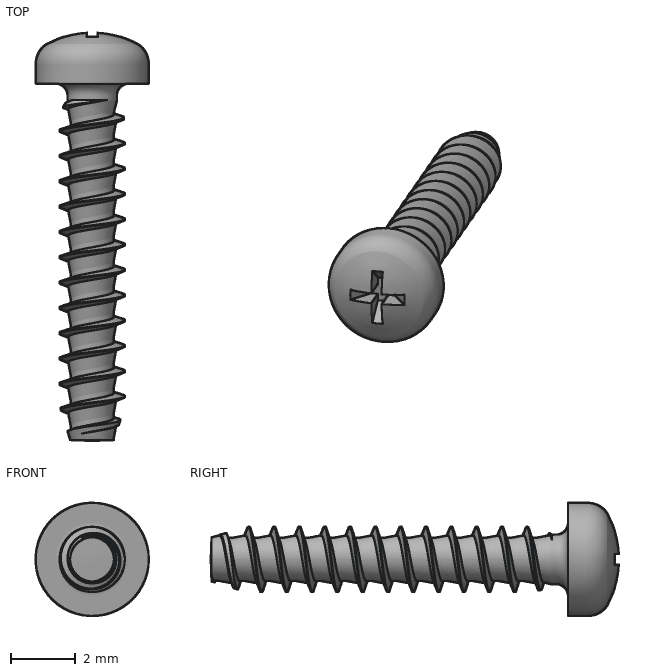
import cadquery as cq
import math

total_length = 12.57

recess_arm_width = 0.33
recess_radius = 0.95
recess_floor_radius = 0.38
recess_depth = 0.82

head_radius = 1.75
head_height = 1.57
rim_height = 0.6
head_edge_fillet = 0.04

crown_radius = 1.42
crown_drop = 0.36
crown_sphere_radius = (crown_radius**2 + crown_drop**2) / (2 * crown_drop)
recess_corner_radius = math.hypot(recess_arm_width / 2, recess_arm_width / 2)
lost_apex_height = crown_sphere_radius - math.sqrt(crown_sphere_radius**2 - recess_corner_radius**2)
apex_y = head_height + lost_apex_height

neck_radius = 0.77
neck_fillet = 0.35
neck_length = 0.52
neck_taper_length = 0.5
neck_end_radius = 0.64

tip_y = head_height - total_length
tip_cone_height = 0.03
shank_end_y = tip_y + tip_cone_height

thread_radius = 1.0
pitch = 0.78
turn_count = 15
crest_half_width = 0.01
ridge_half_width = 0.11
core_radius = 0.67
root_radius = 0.74
root_taper_length = 0.4
first_crest_y = -11.19

run_in_radius = 0.74
run_in_y = -0.45
run_in_knee_y = -0.79
run_in_knee_radius = 0.94
full_thread_top_y = -1.26
full_thread_bottom_y = -9.92
run_out_radius = 0.68
trim_radius = thread_radius + 0.25
trim_bottom_y = first_crest_y - 2 * pitch


def revolve_about_y(outline):
    """Close an outline in the XY plane and turn it fully about the Y axis."""
    return outline.close().revolve(360, (0, 0, 0), (0, 1, 0))


def make_head():
    """Head and neck as one turned body."""
    neck_end_y = -neck_length - neck_taper_length
    outline = (
        cq.Workplane("XY")
        .moveTo(0, neck_end_y)
        .lineTo(neck_end_radius, neck_end_y)
        .lineTo(neck_radius, -neck_length)
        .lineTo(neck_radius, -neck_fillet)
        .radiusArc((neck_radius + neck_fillet, 0), neck_fillet)
        .lineTo(head_radius - head_edge_fillet, 0)
        .radiusArc((head_radius, head_edge_fillet), -head_edge_fillet)
        .lineTo(head_radius, rim_height)
        .tangentArcPoint((crown_radius, apex_y - crown_drop), relative=False)
        .radiusArc((0, apex_y), -crown_sphere_radius)
    )
    return revolve_about_y(outline)


def make_threaded_rod():
    """Right-handed threaded rod, a closed shell of helical faces built along Z and laid along Y."""
    contour = [
        (core_radius, ridge_half_width),
        (thread_radius, crest_half_width),
        (thread_radius, -crest_half_width),
        (root_radius, -ridge_half_width),
        (core_radius, -ridge_half_width - root_taper_length),
        (core_radius, ridge_half_width - pitch),
    ]
    top_of_contour = contour[0][1]
    bottom_of_contour = contour[-1][1]
    rod_height = turn_count * pitch

    def helix(radius, height):
        return cq.Wire.makeHelix(pitch, pitch, radius).translate(cq.Vector(0, 0, height))

    def end_ramp(height):
        """Spiral ramp of one turn that closes the rod between its axis and its core."""
        axis = cq.Edge.makeLine(cq.Vector(0, 0, height), cq.Vector(0, 0, height + pitch))
        return cq.Face.makeRuledSurface(axis, helix(core_radius, height).Edges()[0])

    def end_step(height):
        """Flat half-section that closes the ridge and core at either end of the helix."""
        section = contour + [(0, bottom_of_contour), (0, top_of_contour)]
        corners = [cq.Vector(radius, 0, z + height) for radius, z in section]
        return cq.Face.makeFromWires(cq.Wire.makePolygon(corners, close=True))

    faces = [
        end_ramp(bottom_of_contour),
        end_step(0),
        end_ramp(rod_height + bottom_of_contour),
        end_step(rod_height),
    ]
    for turn in range(turn_count):
        helices = [helix(radius, z + turn * pitch) for radius, z in contour]
        for upper, lower in zip(helices, helices[1:]):
            faces.append(cq.Face.makeRuledSurface(upper, lower))
    rod = cq.Workplane(cq.Solid.makeSolid(cq.Shell.makeShell(faces)))
    return rod.rotate((0, 0, 0), (1, 0, 0), -90).translate((0, first_crest_y, 0))


def make_run_in_trim():
    """Ring that lets the crest rise gradually from the neck."""
    outline = (
        cq.Workplane("XY")
        .moveTo(trim_radius, ridge_half_width)
        .lineTo(run_in_radius, ridge_half_width)
        .lineTo(run_in_radius, run_in_y)
        .lineTo(run_in_knee_radius, run_in_knee_y)
        .lineTo(thread_radius, full_thread_top_y)
        .lineTo(trim_radius, full_thread_top_y)
    )
    return revolve_about_y(outline)


def make_run_out_trim():
    """Cup that sinks the crest toward the core and clears everything below the tip."""
    outline = (
        cq.Workplane("XY")
        .moveTo(0, tip_y)
        .lineTo(run_out_radius, shank_end_y)
        .lineTo(thread_radius, full_thread_bottom_y)
        .lineTo(trim_radius, full_thread_bottom_y)
        .lineTo(trim_radius, trim_bottom_y)
        .lineTo(0, trim_bottom_y)
    )
    return revolve_about_y(outline)


def make_recess():
    """Cross recess whose arms narrow toward the axis with depth."""
    floor_y = apex_y - recess_depth
    arm = (
        cq.Workplane("XY")
        .moveTo(-recess_radius, apex_y)
        .lineTo(recess_radius, apex_y)
        .lineTo(recess_floor_radius, floor_y)
        .lineTo(-recess_floor_radius, floor_y)
        .close()
        .extrude(recess_arm_width / 2, both=True)
    )
    return arm.union(arm.rotate((0, 0, 0), (0, 1, 0), 90))


shank = make_threaded_rod().cut(make_run_in_trim()).cut(make_run_out_trim())
result = make_head().union(shank).cut(make_recess())